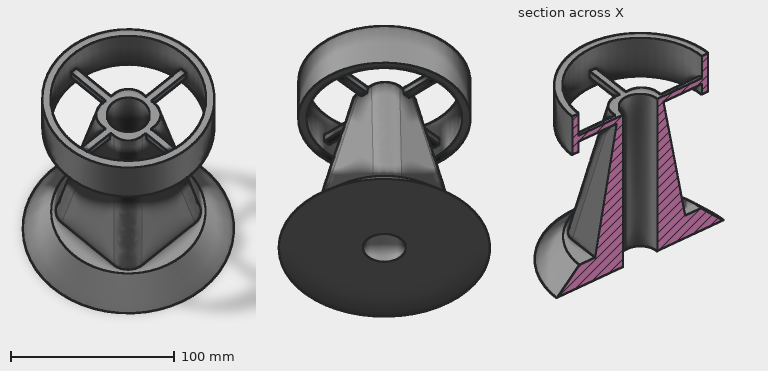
import cadquery as cq
import math

total_height = 133.9
base_diameter = 129.5
base_top_diameter = 94.5
base_height = 17.5

ring_outer_diameter = 105.5
ring_inner_diameter = 95.3
ring_height = 29.7
ring_bottom = total_height - ring_height

column_bottom_width = 70.0
column_top_width = 35.0
column_taper = 10.0
column_corner_radius = 12.5
column_height = (column_bottom_width - column_top_width) / 2 / math.tan(math.radians(column_taper))
column_top = base_height + column_height
bore_diameter = 26.2

spoke_width = 4.8
spoke_height = 5.0
spoke_length = (ring_inner_diameter + ring_outer_diameter) / 2


def make_base():
    cone = cq.Solid.makeCone(base_diameter / 2, base_top_diameter / 2, base_height)
    return cq.Workplane(obj=cone)


def make_column():
    column = (
        cq.Workplane("XY")
        .workplane(offset=base_height)
        .rect(column_bottom_width, column_bottom_width)
        .workplane(offset=column_height)
        .rect(column_top_width, column_top_width)
        .loft(ruled=True)
    )
    return column.edges("not #Z").fillet(column_corner_radius)


def make_ring():
    return (
        cq.Workplane("XY")
        .workplane(offset=ring_bottom)
        .circle(ring_outer_diameter / 2)
        .circle(ring_inner_diameter / 2)
        .extrude(ring_height)
    )


def make_spokes():
    spokes = cq.Workplane("XY")
    for angle in (0, 90):
        bar = (
            cq.Workplane("XY")
            .workplane(offset=column_top - spoke_height)
            .rect(spoke_length, spoke_width)
            .extrude(spoke_height)
            .rotate((0, 0, 0), (0, 0, 1), angle)
        )
        spokes = spokes.add(bar)
    return spokes.combine()


body = make_base().union(make_column()).union(make_ring()).union(make_spokes())
bore = cq.Workplane("XY").circle(bore_diameter / 2).extrude(total_height)
result = body.cut(bore)